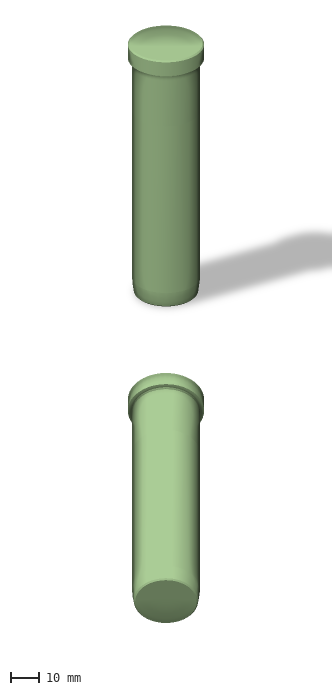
import cadquery as cq
import math

total_length = 100.0
head_diameter = 27.0
head_height = 6.0
head_chamfer = 0.5
shaft_diameter = 24.0

groove_width = 1.0
groove_depth = 0.3

fit_length = 21.0

lead_height = 6.0
lead_radius = 25.0
end_chamfer = 0.5

head_radius = head_diameter / 2
shaft_radius = shaft_diameter / 2
head_underside_z = total_length - head_height
joint_z = head_underside_z - fit_length

def make_headed_section():
    """Head, relief groove and fitted shaft length, revolved about Z."""
    groove_radius = shaft_radius - groove_depth
    groove_bottom_z = head_underside_z - groove_width
    return (
        cq.Workplane("XZ")
        .moveTo(0, joint_z)
        .lineTo(shaft_radius, joint_z)
        .lineTo(shaft_radius, groove_bottom_z)
        .lineTo(groove_radius, head_underside_z - groove_width / 2)
        .lineTo(shaft_radius, head_underside_z)
        .lineTo(head_radius, head_underside_z)
        .lineTo(head_radius, total_length - head_chamfer)
        .lineTo(head_radius - head_chamfer, total_length)
        .lineTo(0, total_length)
        .close()
        .revolve(360, (0, 0), (0, 1))
    )

def lead_radius_at(z):
    """Radius of the lead-in, whose arc is tangent to the shaft at lead_height."""
    drop = lead_height - z
    return shaft_radius - lead_radius + math.sqrt(lead_radius**2 - drop**2)

def make_guide_section():
    """Guiding shaft length with its rounded lead-in, revolved about Z."""
    arc_end_radius = lead_radius_at(end_chamfer)
    arc_middle_z = (lead_height + end_chamfer) / 2
    return (
        cq.Workplane("XZ")
        .lineTo(arc_end_radius - end_chamfer, 0)
        .lineTo(arc_end_radius, end_chamfer)
        .threePointArc((lead_radius_at(arc_middle_z), arc_middle_z), (shaft_radius, lead_height))
        .lineTo(shaft_radius, joint_z)
        .lineTo(0, joint_z)
        .close()
        .revolve(360, (0, 0), (0, 1))
    )

headed_section = make_headed_section()
guide_section = make_guide_section()

result = cq.Compound.makeCompound([headed_section.val(), guide_section.val()])